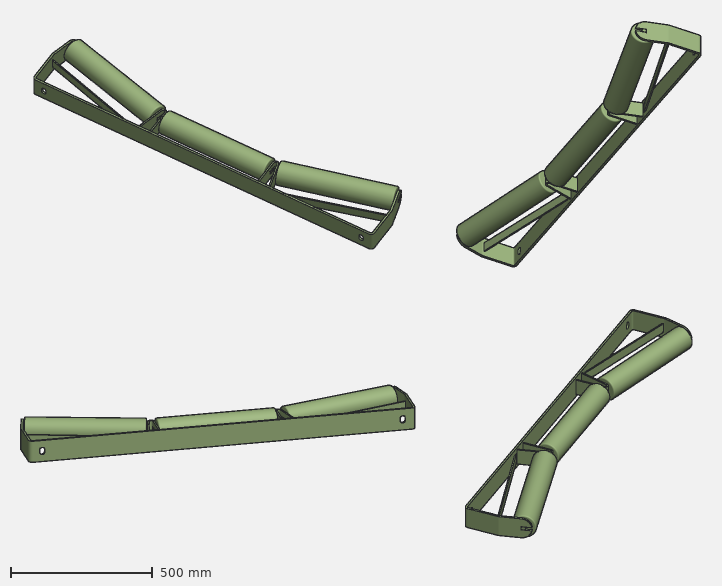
import cadquery as cq
import math


trough_angle = 15.0
cut_height = 200.0

frame_length = 1400.0
frame_width = 80.0
strip_thickness = 8.0
corner_radius = 14.0
wall_bend_height = 135.0
wall_bend_radius = 20.0
wall_tip_length = 119.5

slot_spacing = 1306.0
slot_width = 18.0
slot_height = 27.0

roller_diameter = 89.0
roller_length = 430.0
rim_radius = 5.0
shaft_diameter = 17.0
shaft_flats = 13.0
centre_roller_y = 99.0
side_roller_x = -458.0
side_roller_y = 161.6
bracket_gap = 4.0

bracket_thickness = 6.0
bracket_width = 60.0
bracket_top = 127.0

strut_thickness = 5.0
strut_width = 36.0
strut_wall_height = 128.5
strut_foot_x = -278.0

trough_sin = math.sin(math.radians(trough_angle))
trough_cos = math.cos(math.radians(trough_angle))
trough_tan = trough_sin / trough_cos
wall_x = -frame_length / 2
wall_inner_x = wall_x + strip_thickness
half_roller = roller_length / 2

wall_reach = (side_roller_x - wall_x) * trough_cos - (side_roller_y - wall_bend_height) * trough_sin
bracket_reach = half_roller + bracket_gap + bracket_thickness


def extrude_centred(outline, width):
    """Extrude an XY outline to the given width, half to each side of Z = 0."""
    return outline.extrude(width / 2, both=True)


def mirrored(body):
    """Right-hand copy of a left-hand body."""
    return body.mirror("YZ")


def at_side_roller(body):
    """Move a body built along X about the origin onto the left, inclined roller axis."""
    turned = body.rotate((0, 0, 0), (0, 0, 1), -trough_angle)
    return turned.translate((side_roller_x, side_roller_y, 0))


def round_vertical_edge(body, x, y, radius):
    """Fillet the Z-parallel edge that passes through (x, y)."""
    return body.edges(cq.selectors.NearestToPointSelector((x, y, 0))).fillet(radius)


def flatted_shaft(left_end, right_end):
    """Round bar along X with two flats facing +Z and -Z."""
    length = right_end - left_end
    bar = cq.Workplane("YZ").workplane(offset=left_end).circle(shaft_diameter / 2).extrude(length)
    flats = cq.Workplane("XY").box(length, shaft_diameter, shaft_flats, centered=(False, True, True))
    return bar.intersect(flats.translate((left_end, 0, 0)))


def shaft_slot(left_end, right_end):
    """Cutter for a flat-bottomed slot that lets a shaft drop in from +Y."""
    length = right_end - left_end
    slot = cq.Workplane("XY").box(length, cut_height, shaft_flats, centered=(False, False, True))
    return slot.translate((left_end, -shaft_diameter / 2, 0))


def make_roller(left_reach, right_reach):
    """Drum with rounded rims, with its shaft reaching out at both ends."""
    end_plane = cq.Workplane("YZ").workplane(offset=-half_roller)
    drum = end_plane.circle(roller_diameter / 2).extrude(roller_length)
    drum = drum.faces("<X or >X").edges().fillet(rim_radius)
    return drum.union(flatted_shaft(-left_reach, right_reach))


def half_frame_outline():
    """Left half of the bent strip, with its bends still sharp."""
    tip_x = wall_x + wall_tip_length * trough_sin
    tip_y = wall_bend_height + wall_tip_length * trough_cos
    return (
        cq.Workplane("XY")
        .moveTo(0, 0)
        .lineTo(wall_x, 0)
        .lineTo(wall_x, wall_bend_height)
        .lineTo(tip_x, tip_y)
        .lineTo(tip_x + strip_thickness * trough_cos, tip_y - strip_thickness * trough_sin)
        .lineTo(wall_inner_x, inner_bend_height())
        .lineTo(wall_inner_x, strip_thickness)
        .lineTo(0, strip_thickness)
        .close()
    )


def inner_bend_height():
    return wall_bend_height - strip_thickness * math.tan(math.radians(trough_angle / 2))


def round_tip_envelope():
    """Envelope of the strip that ends in a full round at the tip of the inclined wall."""
    half_width = frame_width / 2
    round_start = wall_tip_length - half_width
    envelope = (
        cq.Workplane("YZ")
        .moveTo(-frame_length, -half_width)
        .lineTo(round_start, -half_width)
        .threePointArc((wall_tip_length, 0), (round_start, half_width))
        .lineTo(-frame_length, half_width)
        .close()
        .extrude(frame_length, both=True)
    )
    turned = envelope.rotate((0, 0, 0), (0, 0, 1), -trough_angle)
    return turned.translate((wall_x, wall_bend_height, 0))


def make_frame():
    half = extrude_centred(half_frame_outline(), frame_width)
    half = round_vertical_edge(half, wall_x, 0, corner_radius)
    half = round_vertical_edge(half, wall_inner_x, strip_thickness, corner_radius - strip_thickness)
    half = round_vertical_edge(half, wall_x, wall_bend_height, wall_bend_radius)
    half = round_vertical_edge(half, wall_inner_x, inner_bend_height(), wall_bend_radius - strip_thickness)
    half = half.intersect(round_tip_envelope())
    half = half.cut(at_side_roller(shaft_slot(-wall_reach, -half_roller)))
    mounting_slots = (
        cq.Workplane("XZ")
        .pushPoints([(-slot_spacing / 2, 0), (slot_spacing / 2, 0)])
        .slot2D(slot_height, slot_width, 90)
        .extrude(-strip_thickness)
    )
    return half.union(mirrored(half)).cut(mounting_slots)


def make_bracket():
    vertical_x = -half_roller - bracket_gap
    face_reach = half_roller + bracket_gap
    face_x = side_roller_x + face_reach * trough_cos
    face_y = side_roller_y - face_reach * trough_sin
    foot_x = face_x + (strip_thickness - face_y) * trough_tan

    corner_to_face = (vertical_x - face_x) * trough_cos - (bracket_top - face_y) * trough_sin
    outer_radius = corner_to_face / (1 + trough_cos - trough_sin)
    inner_radius = outer_radius - bracket_thickness
    crown_x = vertical_x - outer_radius
    crown_y = bracket_top - outer_radius

    outline = (
        cq.Workplane("XY")
        .moveTo(vertical_x, strip_thickness)
        .lineTo(vertical_x, crown_y)
        .threePointArc(
            (crown_x, bracket_top),
            (crown_x - outer_radius * trough_cos, crown_y + outer_radius * trough_sin),
        )
        .lineTo(foot_x, strip_thickness)
        .lineTo(foot_x + bracket_thickness / trough_cos, strip_thickness)
        .lineTo(crown_x - inner_radius * trough_cos, crown_y + inner_radius * trough_sin)
        .threePointArc((crown_x, crown_y + inner_radius), (crown_x + inner_radius, crown_y))
        .lineTo(vertical_x - bracket_thickness, strip_thickness)
        .close()
    )
    bracket = extrude_centred(outline, bracket_width)
    side_slot = at_side_roller(shaft_slot(half_roller, bracket_reach))
    centre_slot = shaft_slot(-bracket_reach, -half_roller).translate((0, centre_roller_y, 0))
    return bracket.cut(side_slot).cut(centre_slot)


def make_strut():
    run = strut_foot_x - wall_inner_x
    drop = strut_wall_height - strip_thickness
    bar_length = math.hypot(run, drop)
    wall_contact = strut_thickness * bar_length / run
    foot_contact = strut_thickness * bar_length / drop
    corners = [
        (wall_inner_x, strut_wall_height),
        (strut_foot_x, strip_thickness),
        (strut_foot_x - foot_contact, strip_thickness),
        (wall_inner_x, strut_wall_height - wall_contact),
    ]
    return extrude_centred(cq.Workplane("XY").polyline(corners).close(), strut_width)


frame = make_frame()
centre_roller = make_roller(bracket_reach, bracket_reach).translate((0, centre_roller_y, 0))
side_roller = at_side_roller(make_roller(wall_reach, bracket_reach))

bodies = [frame, centre_roller]
for left_body in (side_roller, make_bracket(), make_strut()):
    bodies.append(left_body)
    bodies.append(mirrored(left_body))

result = cq.Compound.makeCompound([body.val() for body in bodies])